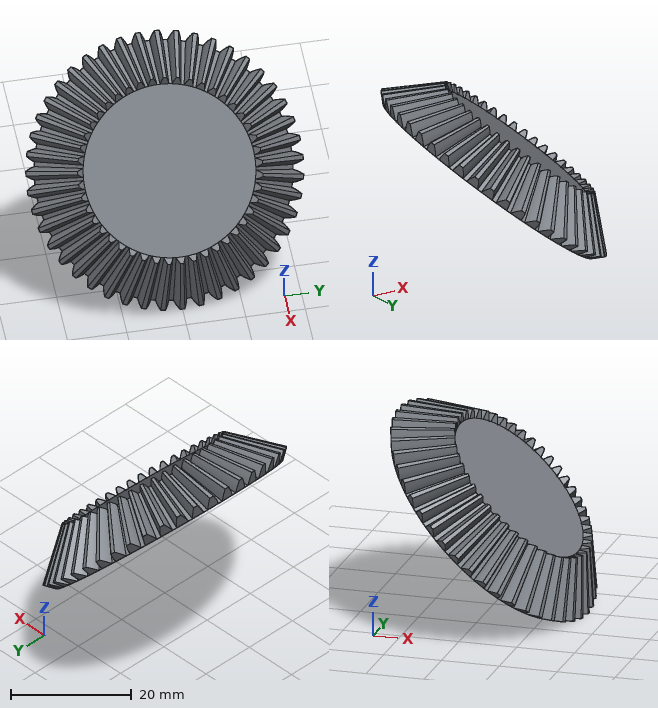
import cadquery as cq
import math


tooth_count = 45
tip_diameter = 46.4
pitch_cone_angle = math.radians(45)
pressure_angle = math.radians(20)
addendum_factor = 1.0
dedendum_factor = 1.25
face_width_ratio = 1 / 3
axis_tilt = 45.0
trim_margin = 0.25
flank_points = 6

cone_sin = math.sin(pitch_cone_angle)
cone_cos = math.cos(pitch_cone_angle)

module = tip_diameter / (tooth_count + 2 * addendum_factor * cone_cos)
addendum = addendum_factor * module
dedendum = dedendum_factor * module
pitch_radius = tooth_count * module / 2
cone_distance = pitch_radius / cone_sin
inner_scale = 1 - face_width_ratio

pitch_height = dedendum * cone_sin
apex_height = pitch_height + cone_distance * cone_cos

back_cone_radius = pitch_radius / cone_cos
base_radius = back_cone_radius * math.cos(pressure_angle)
half_tooth_angle = math.pi * cone_cos / (2 * tooth_count)


def back_cone_point(offset, scale):
    """Radius and height of a point offset from the pitch cone, scaled towards the apex."""
    radius = pitch_radius + offset * cone_cos
    height = pitch_height + offset * cone_sin
    return (radius * scale, apex_height + (height - apex_height) * scale)


def make_revolved_body(edge_points):
    """Solid of revolution about Z, with flat ends at the first and last edge points."""
    bottom_center = (0, edge_points[0][1])
    top_center = (0, edge_points[-1][1])
    outline = [bottom_center, *edge_points, top_center]
    return cq.Workplane("XZ").polyline(outline).close().revolve(360, (0, 0), (0, 1))


def involute(angle):
    """Involute function of a pressure angle."""
    return math.tan(angle) - angle


def flank_point(radius):
    """Point on the involute flank, measured from the pitch point."""
    roll = involute(pressure_angle) - involute(math.acos(base_radius / radius))
    angle = half_tooth_angle + roll
    return (radius * math.sin(angle), radius * math.cos(angle) - back_cone_radius)


def tooth_section(distance):
    """Tooth outline square to the pitch cone, at a distance from the apex."""
    scale = distance / cone_distance
    lowest = back_cone_radius - dedendum - trim_margin
    highest = back_cone_radius + addendum + trim_margin
    step = (highest - lowest) / (flank_points - 1)
    flank = [flank_point(lowest + i * step) for i in range(flank_points)]
    right = [(x * scale, y * scale) for x, y in flank]
    left = [(-x, y) for x, y in reversed(right)]
    plane = cq.Plane(
        origin=(distance * cone_sin, 0, apex_height - distance * cone_cos),
        xDir=(0, 1, 0),
        normal=(cone_sin, 0, -cone_cos),
    )
    sketch = cq.Workplane(plane).moveTo(*right[0]).spline(right[1:], includeCurrent=True)
    sketch = sketch.lineTo(*left[0]).spline(left[1:], includeCurrent=True).close()
    return sketch.val()


def make_tooth(blank):
    """One tooth tapering towards the apex, trimmed to the blank."""
    outer = tooth_section(cone_distance + trim_margin)
    inner = tooth_section(cone_distance * inner_scale - trim_margin)
    raw_tooth = cq.Solid.makeLoft([outer, inner], True)
    return blank.intersect(cq.Workplane(raw_tooth)).val()


outer_root = back_cone_point(-dedendum, 1)
outer_tip = back_cone_point(addendum, 1)
inner_tip = back_cone_point(addendum, inner_scale)
inner_root = back_cone_point(-dedendum, inner_scale)

core = make_revolved_body([outer_root, inner_root])
blank = make_revolved_body([outer_root, outer_tip, inner_tip, inner_root])

tooth = make_tooth(blank)
axis_start = cq.Vector(0, 0, 0)
axis_end = cq.Vector(0, 0, 1)
tooth_pitch = 360 / tooth_count
teeth = [tooth.rotate(axis_start, axis_end, i * tooth_pitch) for i in range(tooth_count)]

gear = cq.Workplane(core.val().fuse(*teeth)).clean()
result = gear.rotate((0, 0, 0), (0, 1, 0), axis_tilt).solids()